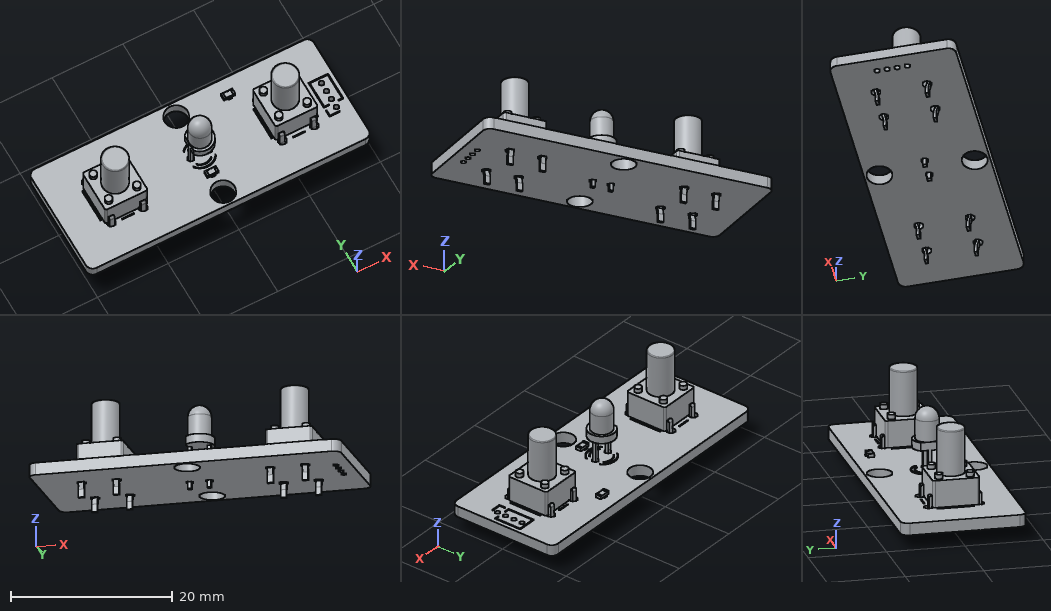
import cadquery as cq
import math


overall_height = 13.0

board_length = 40.0
board_width = 16.0
board_thickness = 1.6
board_corner_radius = 1.0
centre_column_x = -0.05
mounting_hole_diameter = 3.2
mounting_hole_pitch = 12.1

connector_x = 18.05
connector_first_hole_y = 1.55
connector_hole_pitch = 1.3
connector_hole_count = 4
connector_hole_diameter = 0.7

left_switch_x = -12.1
right_switch_x = 12.1
switch_y_offset = 0.1
switch_body_side = 6.0
switch_body_bottom = 0.1
switch_body_top = 3.6
switch_corner_radius = 0.3
button_diameter = 3.5
button_top = 9.5
button_top_radius = 0.1
post_diameter = 1.0
post_pitch = 4.0
post_height = 0.6

leg_pitch_x = 4.5
leg_width = 0.7
leg_thickness = 0.35
leg_top = 1.5
leg_top_radius = 0.25
leg_bulge = 0.2
leg_bulge_start_z = -0.4
leg_bulge_end_z = -2.45
leg_bottom = button_top - overall_height
switch_hole_diameter = 1.1
switch_hole_pitch_y = 6.5

led_diameter = 3.0
led_flange_diameter = 3.8
led_flange_bottom = 3.0
led_flange_thickness = 1.1
led_dome_start = 6.8
led_pin_side = 0.5
led_pin_pitch = 2.5
led_pin_bottom = -2.45
led_hole_diameter = 0.9

resistor_length = 1.6
resistor_width = 0.8
resistor_height = 0.45
terminal_length = 0.3
terminal_step = 0.05
resistor_places = [(7.05, 5.6), (centre_column_x, -3.05)]

mark_width = 0.1
mark_height = 0.05
switch_side_mark_x = 3.25
switch_side_mark_length = 4.7
switch_end_mark_y = 3.5
switch_end_mark_length = 1.7
resistor_mark_y = 0.5
resistor_mark_length = 0.6
led_outer_mark_radius = 2.0
led_outer_mark_left = -1.55
led_outer_mark_right = 1.7
led_inner_mark_radius = 1.5
led_inner_mark_reach = 1.05
connector_mark_left = 16.7
connector_mark_right = 19.3
connector_mark_top = 2.3
connector_mark_bottom = -1.6
connector_mark_left_return = 0.65
connector_mark_right_return = 0.55
corner_mark_top = -2.2
corner_mark_bottom = -3.05

switch_places = [(left_switch_x, -switch_y_offset), (right_switch_x, switch_y_offset)]
led_pin_xs = [centre_column_x - led_pin_pitch / 2, centre_column_x + led_pin_pitch / 2]


def block(x_size, y_size, bottom, top, x=0.0, y=0.0):
    """Box centred on (x, y) between two heights."""
    return (
        cq.Workplane("XY", origin=(x, y, bottom))
        .rect(x_size, y_size)
        .extrude(top - bottom)
    )


def cylinder(diameter, bottom, top):
    return cq.Workplane("XY", origin=(0, 0, bottom)).circle(diameter / 2).extrude(top - bottom)


def straight_mark(start, end):
    """Raised strip along X or Y from start to end, with square ends."""
    return block(
        abs(end[0] - start[0]) + mark_width,
        abs(end[1] - start[1]) + mark_width,
        0,
        mark_height,
        (start[0] + end[0]) / 2,
        (start[1] + end[1]) / 2,
    )


def switch_marks(x):
    side_reach = (switch_side_mark_length - mark_width) / 2
    end_reach = (switch_end_mark_length - mark_width) / 2
    marks = []
    for side in (-1, 1):
        side_x = x + side * switch_side_mark_x
        end_y = side * switch_end_mark_y
        marks.append(straight_mark((side_x, -side_reach), (side_x, side_reach)))
        marks.append(straight_mark((x - end_reach, end_y), (x + end_reach, end_y)))
    return marks


def resistor_marks(x, y):
    reach = (resistor_mark_length - mark_width) / 2
    marks = []
    for side in (-1, 1):
        mark_y = y + side * resistor_mark_y
        marks.append(straight_mark((x - reach, mark_y), (x + reach, mark_y)))
    return marks


def led_arc_pair(radius, left, right):
    """Arcs on the +Y and -Y sides of the LED, between two X distances from its axis."""
    outer = radius + mark_width / 2
    inner = radius - mark_width / 2
    ring = (
        cq.Workplane("XY", origin=(centre_column_x, 0, 0))
        .circle(outer)
        .circle(inner)
        .extrude(mark_height)
    )
    middle_x = centre_column_x + (left + right) / 2
    arc_span = block(right - left, 2 * outer, 0, mark_height, middle_x)
    return ring.intersect(arc_span).solids().vals()


def led_marks():
    outer_arcs = led_arc_pair(led_outer_mark_radius, led_outer_mark_left, led_outer_mark_right)
    inner_arcs = led_arc_pair(led_inner_mark_radius, -led_inner_mark_reach, led_inner_mark_reach)
    return outer_arcs + inner_arcs


def connector_marks():
    left, right = connector_mark_left, connector_mark_right
    top, bottom = connector_mark_top, connector_mark_bottom
    return [
        straight_mark((left, top), (right, top)),
        straight_mark((left, bottom), (left, top)),
        straight_mark((right, bottom), (right, top)),
        straight_mark((left, bottom), (left + connector_mark_left_return, bottom)),
        straight_mark((right - connector_mark_right_return, bottom), (right, bottom)),
        straight_mark((left, corner_mark_bottom), (left, corner_mark_top)),
        straight_mark((left, corner_mark_bottom), (connector_x, corner_mark_bottom)),
    ]


def make_board():
    board = block(board_length, board_width, -board_thickness, 0)
    board = board.edges("|Z").fillet(board_corner_radius)

    mounting_holes = [(centre_column_x, side * mounting_hole_pitch / 2) for side in (-1, 1)]
    connector_holes = [
        (connector_x, connector_first_hole_y - i * connector_hole_pitch)
        for i in range(connector_hole_count)
    ]
    switch_holes = [
        (x + x_side * leg_pitch_x / 2, y_side * switch_hole_pitch_y / 2)
        for x, _ in switch_places
        for x_side in (-1, 1)
        for y_side in (-1, 1)
    ]
    led_holes = [(x, 0) for x in led_pin_xs]
    for places, diameter in (
        (mounting_holes, mounting_hole_diameter),
        (connector_holes, connector_hole_diameter),
        (switch_holes, switch_hole_diameter),
        (led_holes, led_hole_diameter),
    ):
        cutters = (
            cq.Workplane("XY", origin=(0, 0, -board_thickness))
            .pushPoints(places)
            .circle(diameter / 2)
            .extrude(board_thickness)
        )
        board = board.cut(cutters)

    marks = led_marks() + connector_marks()
    for x, _ in switch_places:
        marks += switch_marks(x)
    for x, y in resistor_places:
        marks += resistor_marks(x, y)
    for mark in marks:
        board = board.union(mark)
    return board


def make_switch_leg():
    """Leg on the +Y side: flat against the body, bowed outward in the board hole, then straight."""
    inner = switch_body_side / 2
    outer = inner + leg_thickness
    arc_inset = leg_top_radius * (1 - math.sqrt(0.5))
    return (
        cq.Workplane("YZ")
        .moveTo(inner, leg_top)
        .lineTo(outer - leg_top_radius, leg_top)
        .threePointArc((outer - arc_inset, leg_top - arc_inset), (outer, leg_top - leg_top_radius))
        .lineTo(outer, leg_bulge_start_z)
        .lineTo(outer + leg_bulge, -board_thickness)
        .lineTo(outer, leg_bulge_end_z)
        .lineTo(outer, leg_bottom)
        .lineTo(inner, leg_bottom)
        .lineTo(inner, leg_bulge_end_z)
        .lineTo(inner + leg_bulge, -board_thickness)
        .lineTo(inner, leg_bulge_start_z)
        .close()
        .extrude(leg_width / 2, both=True)
    )


def make_switch():
    switch = block(switch_body_side, switch_body_side, switch_body_bottom, switch_body_top)
    switch = switch.edges("|Z").fillet(switch_corner_radius)
    posts = (
        cq.Workplane("XY", origin=(0, 0, switch_body_top))
        .rect(post_pitch, post_pitch, forConstruction=True)
        .vertices()
        .circle(post_diameter / 2)
        .extrude(post_height)
    )
    button = cylinder(button_diameter, switch_body_top, button_top)
    button = button.faces(">Z").edges().fillet(button_top_radius)
    switch = switch.union(button).union(posts)
    leg = make_switch_leg()
    for turn in (0, 180):
        for side in (-1, 1):
            placed_leg = leg.rotate((0, 0, 0), (0, 0, 1), turn)
            switch = switch.union(placed_leg.translate((side * leg_pitch_x / 2, 0, 0)))
    return switch


def make_led():
    flange_top = led_flange_bottom + led_flange_thickness
    flange = cylinder(led_flange_diameter, led_flange_bottom, flange_top)
    kept_length = (led_diameter + led_flange_diameter) / 2
    kept_middle_x = (led_flange_diameter - led_diameter) / 4
    kept = block(kept_length, led_flange_diameter, led_flange_bottom, flange_top, kept_middle_x)
    lens = cylinder(led_diameter, led_flange_bottom, led_dome_start)
    dome = cq.Workplane("XY").sphere(led_diameter / 2).translate((0, 0, led_dome_start))
    led = flange.intersect(kept).union(lens).union(dome).translate((centre_column_x, 0, 0))
    for x in led_pin_xs:
        led = led.union(block(led_pin_side, led_pin_side, led_pin_bottom, led_flange_bottom, x))
    return led


def make_resistor():
    middle = block(
        resistor_length - 2 * terminal_length,
        resistor_width,
        0,
        resistor_height - terminal_step,
    )
    terminal_x = (resistor_length - terminal_length) / 2
    resistor = middle
    for side in (-1, 1):
        terminal = block(terminal_length, resistor_width, 0, resistor_height, side * terminal_x)
        resistor = resistor.union(terminal)
    return resistor


board = make_board()
led = make_led()
switches = [make_switch().translate((x, y, 0)) for x, y in switch_places]
resistors = [make_resistor().translate((x, y, 0)) for x, y in resistor_places]

bodies = [board, led] + switches + resistors
result = cq.Compound.makeCompound([body.solids().val() for body in bodies])